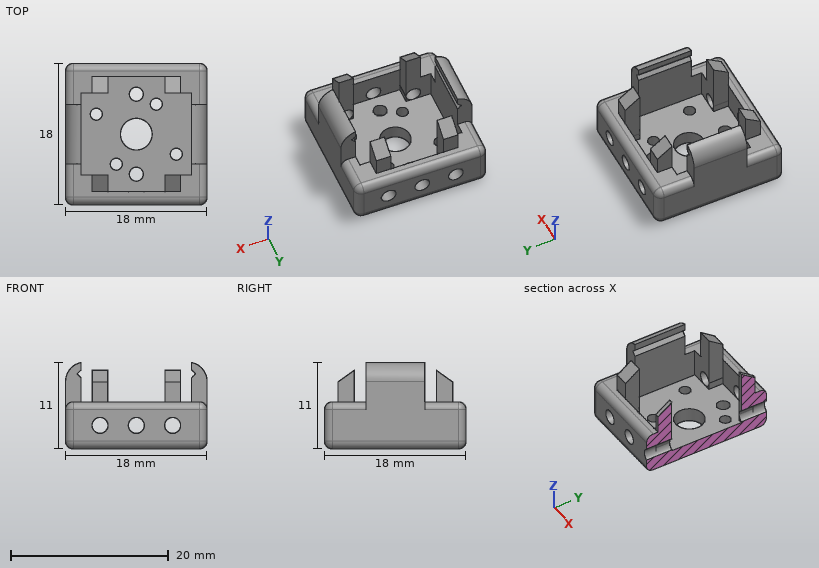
import cadquery as cq
import math

side = 18.0
base_height = 6.0
edge_radius = 1.0
mid_height = base_height / 2

floor_thickness = 2.0
side_wall = 2.0
pocket_width = side - 2 * side_wall
pocket_depth = 10.4
arm_length = 14.58

post_width = 2.0
post_spacing = 9.22
post_peak = 10.0
post_shoulder = 8.51
arm_width = post_spacing - post_width

clip_length = 7.5
clip_height = 11.0
clip_round_radius = 2.5
notch_size = 0.5
notch_height = 9.54

center_hole_diameter = 4.0
locating_hole_diameter = 1.75
pin_hole_diameter = 1.5
pitch = 2.54
cross_hole_diameter = 2.0
row_positions = (-post_spacing / 2, 0, post_spacing / 2)


def centred_block(length_x, length_y, bottom, top):
    """Centred block between two heights."""
    return cq.Workplane("XY").workplane(offset=bottom).rect(length_x, length_y).extrude(top - bottom)


def make_clip():
    """Clip on the +X side: rounded outer shoulder and a V notch along the inner face."""
    outer = side / 2
    inner = outer - side_wall
    center_x = outer - clip_round_radius
    round_rise = math.sqrt(clip_round_radius**2 - (inner - center_x) ** 2)
    round_start = clip_height - round_rise
    return (
        cq.Workplane("XZ")
        .moveTo(inner, mid_height)
        .lineTo(outer, mid_height)
        .lineTo(outer, round_start)
        .radiusArc((inner, clip_height), -clip_round_radius)
        .lineTo(inner, notch_height + notch_size)
        .lineTo(inner + notch_size, notch_height)
        .lineTo(inner, notch_height - notch_size)
        .close()
        .extrude(clip_length / 2, both=True)
    )


def make_post(center_x):
    """Post on the +Y side, its top sloping down towards the outside."""
    inner = pocket_depth / 2
    outer = arm_length / 2
    return (
        cq.Workplane("YZ", origin=(center_x, 0, 0))
        .moveTo(inner, mid_height)
        .lineTo(outer, mid_height)
        .lineTo(outer, post_shoulder)
        .lineTo(inner, post_peak)
        .close()
        .extrude(post_width / 2, both=True)
    )


def floor_holes(points, diameter):
    """Vertical cutters through the floor."""
    return cq.Workplane("XY").pushPoints(points).circle(diameter / 2).extrude(base_height)


body = centred_block(side, side, 0, base_height).edges().fillet(edge_radius)
clip = make_clip()
body = body.union(clip).union(clip.mirror("YZ"))
body = body.cut(centred_block(pocket_width, pocket_depth, floor_thickness, base_height))
body = body.cut(centred_block(arm_width, arm_length, floor_thickness, base_height))

for center_x in (-post_spacing / 2, post_spacing / 2):
    post = make_post(center_x)
    body = body.union(post).union(post.mirror("XZ"))

body = body.cut(floor_holes([(0, 0)], center_hole_diameter))
locating_points = [(0, 2 * pitch), (0, -2 * pitch)]
body = body.cut(floor_holes(locating_points, locating_hole_diameter))
pin_points = [(pitch, 1.5 * pitch), (-2 * pitch, pitch)]
pin_points += [(-x, -y) for x, y in pin_points]
body = body.cut(floor_holes(pin_points, pin_hole_diameter))

cross_holes = (
    cq.Workplane("XZ")
    .pushPoints([(x, mid_height) for x in row_positions])
    .circle(cross_hole_diameter / 2)
    .extrude(side, both=True)
)
result = body.cut(cross_holes)